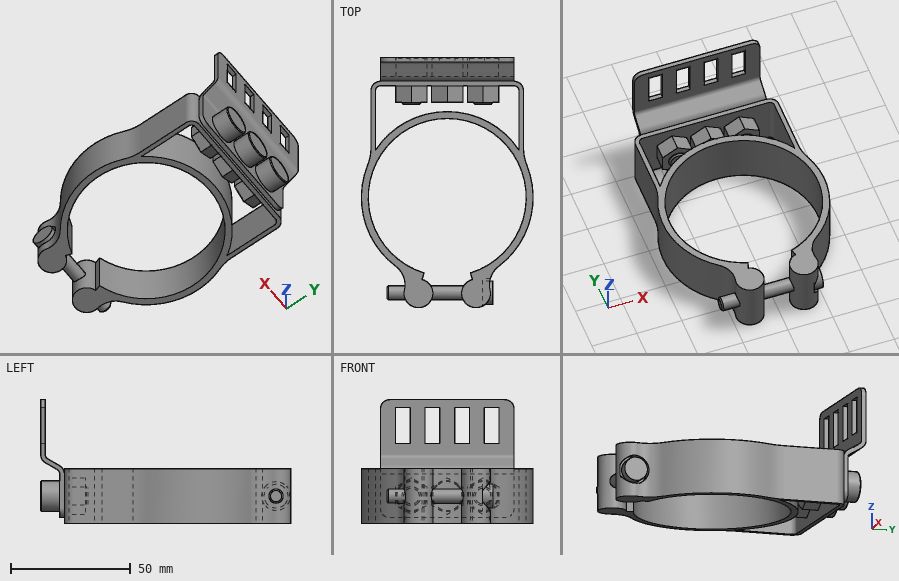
import cadquery as cq
import math


overall_depth = 104.7
band_height = 23.0
ring_outer_radius = 72.0 / 2
ring_bore_radius = 66.0 / 2
ring_gap_half_angle = 17.0

lug_x = 12.0
lug_y = -40.1
lug_radius = 12.0 / 2
lug_fillet_radius = 10.0

sheet = 2.0
plate_width = 56.0
plate_offset = 8.0
plate_bottom_z = 2.5
plate_top_z = 51.9
plate_corner_radius = 4.0
bend_inner_radius = 2.0
bend_angle = 60.0
bend_start_z = 20.8

window_count = 4
window_pitch = 12.4
window_width = 6.1
window_height = 15.0
window_center_z = 41.1

strap_half_width = 31.9
strap_corner_radius = 4.0
strap_blend_radius = 20.0
plate_back_y = overall_depth + lug_y - lug_radius
strap_back_y = plate_back_y - plate_offset - sheet
strap_front_y = strap_back_y - sheet

screw_z = band_height / 2

bolt_pitch = 15.0
bolt_head_diameter = 13.0
bolt_diameter = 8.0
bolt_head_chamfer = 0.4
bolt_tip_length = 0.9
bolt_tip_chamfer = 0.68
nut_across_flats = 13.2
nut_height = 6.9

screw_y = -39.9
screw_diameter = 6.0
screw_head_diameter = 10.0
screw_seat_diameter = 12.0
screw_tip_x = -25.2
screw_head_start_x = 14.8
screw_head_end_x = 19.1
screw_tip_chamfer = 0.6


def toward(start, end, distance):
    """Point at a distance from start, in the direction of end."""
    span = math.dist(start, end)
    return tuple(s + (e - s) * distance / span for s, e in zip(start, end))


def arc_middle(center, start, end):
    """Middle point of the shorter arc from start to end."""
    chord_middle = ((start[0] + end[0]) / 2, (start[1] + end[1]) / 2)
    return toward(center, chord_middle, math.dist(center, start))


def clamp_half():
    """Left half of the clamp body, still without bore and strap opening."""
    axis = (0, 0)
    lug = (-lug_x, lug_y)

    blend_x = -strap_half_width - strap_blend_radius
    blend_y = math.sqrt((ring_outer_radius + strap_blend_radius) ** 2 - blend_x**2)
    blend = (blend_x, blend_y)
    blend_start = (-strap_half_width, blend_y)
    blend_end = toward(axis, blend, ring_outer_radius)

    axis_to_fillet = ring_outer_radius + lug_fillet_radius
    lug_to_fillet = lug_radius + lug_fillet_radius
    axis_to_lug = math.hypot(lug_x, lug_y)
    cosine = (axis_to_fillet**2 + axis_to_lug**2 - lug_to_fillet**2) / (2 * axis_to_fillet * axis_to_lug)
    fillet_angle = math.atan2(lug_y, -lug_x) - math.acos(cosine)
    fillet = (axis_to_fillet * math.cos(fillet_angle), axis_to_fillet * math.sin(fillet_angle))
    fillet_start = toward(axis, fillet, ring_outer_radius)
    fillet_end = toward(lug, fillet, lug_radius)

    gap = math.radians(ring_gap_half_angle)
    radial = (-math.sin(gap), -math.cos(gap))
    along = lug[0] * radial[0] + lug[1] * radial[1]
    across = lug[0] * radial[1] - lug[1] * radial[0]
    end_radius = along - math.sqrt(lug_radius**2 - across**2)
    ring_end_outer = (end_radius * radial[0], end_radius * radial[1])
    lug_tip = toward(lug, axis, -lug_radius)

    corner = (-strap_half_width + strap_corner_radius, strap_back_y - strap_corner_radius)
    corner_start = (corner[0], strap_back_y)
    corner_end = (-strap_half_width, corner[1])

    return (
        cq.Workplane("XY")
        .moveTo(0, strap_back_y)
        .lineTo(*corner_start)
        .threePointArc(arc_middle(corner, corner_start, corner_end), corner_end)
        .lineTo(*blend_start)
        .threePointArc(arc_middle(blend, blend_start, blend_end), blend_end)
        .threePointArc(arc_middle(axis, blend_end, fillet_start), fillet_start)
        .threePointArc(arc_middle(fillet, fillet_start, fillet_end), fillet_end)
        .threePointArc(lug_tip, ring_end_outer)
        .lineTo(*axis)
        .close()
        .extrude(band_height)
    )


def clamp_body():
    half = clamp_half()
    body = half.union(half.mirror("YZ"))

    opening_width = 2 * (strap_half_width - sheet)
    opening = (
        cq.Workplane("XY")
        .center(0, strap_front_y / 2)
        .rect(opening_width, strap_front_y)
        .extrude(band_height)
        .edges("|Z and >Y")
        .fillet(strap_corner_radius - sheet)
        .cut(cq.Workplane("XY").circle(ring_outer_radius).extrude(band_height))
    )
    bore = cq.Workplane("XY").circle(ring_bore_radius).extrude(band_height)
    return body.cut(opening).cut(bore)


def plate():
    """Joggled sheet: a flat on the strap, two opposite bends and a raised flat."""
    angle = math.radians(bend_angle)
    middle_radius = bend_inner_radius + sheet / 2
    bend_y = middle_radius * (1 - math.cos(angle))
    bend_z = middle_radius * math.sin(angle)
    slope_y = plate_offset - 2 * bend_y
    slope_z = slope_y / math.tan(angle)
    half_y = middle_radius * (1 - math.cos(angle / 2))
    half_z = middle_radius * math.sin(angle / 2)

    y = strap_back_y + sheet / 2
    upper_y = y + plate_offset
    bend_end_z = bend_start_z + 2 * bend_z + slope_z
    path = (
        cq.Workplane("YZ")
        .moveTo(y, plate_bottom_z)
        .lineTo(y, bend_start_z)
        .threePointArc((y + half_y, bend_start_z + half_z), (y + bend_y, bend_start_z + bend_z))
        .lineTo(upper_y - bend_y, bend_end_z - bend_z)
        .threePointArc((upper_y - half_y, bend_end_z - half_z), (upper_y, bend_end_z))
        .lineTo(upper_y, plate_top_z)
    )
    section = cq.Workplane("XY", origin=(0, y, plate_bottom_z)).rect(plate_width, sheet)
    body = section.sweep(path).edges("|Y and (>Z or <Z)").fillet(plate_corner_radius)

    windows = (
        cq.Workplane("XZ", origin=(0, plate_back_y, window_center_z))
        .rarray(window_pitch, 1, window_count, 1)
        .rect(window_width, window_height)
        .extrude(sheet)
    )
    return body.cut(windows)


def plate_bolt(x, tip_length):
    """Round-headed bolt behind the plate with its hexagon nut inside the strap."""
    head_height = plate_offset
    shank_length = 2 * sheet + nut_height + tip_length
    head = (
        cq.Workplane("XZ", origin=(x, plate_back_y, screw_z))
        .circle(bolt_head_diameter / 2)
        .extrude(head_height)
        .faces(">Y")
        .chamfer(bolt_head_chamfer)
    )
    shank = (
        cq.Workplane("XZ", origin=(x, plate_back_y - head_height, screw_z))
        .circle(bolt_diameter / 2)
        .extrude(shank_length)
        .faces("<Y")
        .chamfer(bolt_tip_chamfer)
    )
    nut = (
        cq.Workplane("XZ", origin=(x, strap_front_y, screw_z))
        .transformed(rotate=(0, 0, 90))
        .polygon(6, nut_across_flats / math.cos(math.pi / 6))
        .extrude(nut_height)
    )
    return head.union(shank).union(nut)


def screw_seat():
    """Cutter for the round recess that seats the screw head in the right lug."""
    return (
        cq.Workplane("YZ", origin=(screw_head_start_x, screw_y, screw_z))
        .circle(screw_seat_diameter / 2)
        .extrude(screw_head_end_x - screw_head_start_x)
    )


def clamp_screw():
    shank = (
        cq.Workplane("YZ", origin=(screw_tip_x, screw_y, screw_z))
        .circle(screw_diameter / 2)
        .extrude(screw_head_start_x - screw_tip_x)
        .faces("<X")
        .chamfer(screw_tip_chamfer)
    )
    head = (
        cq.Workplane("YZ", origin=(screw_head_start_x, screw_y, screw_z))
        .circle(screw_head_diameter / 2)
        .extrude(screw_head_end_x - screw_head_start_x)
    )
    return shank.union(head)


result = clamp_body().cut(screw_seat()).union(clamp_screw()).union(plate())
for position, tip in ((-1, bolt_tip_length), (0, 0), (1, bolt_tip_length)):
    result = result.union(plate_bolt(position * bolt_pitch, tip))